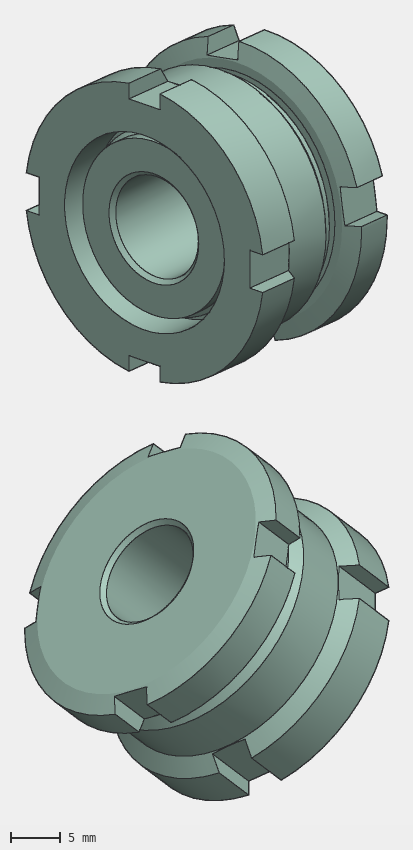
import cadquery as cq

flange_radius = 15.9
flange_rim_end = 4.83
flange_cone_end = 6.05
sleeve_radius = 14.0
sleeve_end = 11.67
step_radius = 12.95
step_start = 12.8
step_end = 13.4
housing_length = 14.07
tip_radius = step_radius - (housing_length - step_end)
thread_radius = 10.0
recess_radius = 10.65
recess_depth = 4.8

collar_radius = 16.0
collar_front = 14.25
collar_rear = 19.3
collar_face_radius = 13.9
collar_bevel_length = 0.58
collar_recess_radius = 12.92
collar_recess_depth = 0.32
screw_front = 1.45
screw_nose_radius = 9.5
screw_nose_length = 1.5
screw_chamfer = thread_radius - screw_nose_radius
relief_radius = 9.18
relief_front = 13.4
bore_radius = 5.5
bore_chamfer = 0.48

slot_count = 4
slot_width = 4.13
slot_floor_radius = 14.05
collar_slot_angle = -8.8


def revolve_profile(points):
    """Turn a closed (radius, Y) outline about the Y axis."""
    return cq.Workplane("XY").polyline(points).close().revolve(360, (0, 0, 0), (0, 1, 0))


def cut_spanner_slots(body, rim_radius, slot_start, slot_end, first_angle):
    """Cut evenly spaced flat-bottomed slots into a rim; angles turn about +Y from +Z."""
    slot_height = rim_radius - slot_floor_radius + 0.32
    slot_length = slot_end - slot_start
    cutter = cq.Workplane("XY").box(slot_width, slot_length, slot_height, centered=(True, False, False))
    cutter = cutter.translate((0, slot_start, slot_floor_radius))
    for i in range(slot_count):
        angle = first_angle + i * 360 / slot_count
        body = body.cut(cutter.rotate((0, 0, 0), (0, 1, 0), angle))
    return body


def make_housing():
    body = revolve_profile([
        (recess_radius, 0),
        (flange_radius, 0),
        (flange_radius, flange_rim_end),
        (sleeve_radius, flange_cone_end),
        (sleeve_radius, sleeve_end),
        (step_radius, step_start),
        (step_radius, step_end),
        (tip_radius, housing_length),
        (thread_radius, housing_length),
        (thread_radius, recess_depth),
        (recess_radius, recess_depth),
    ])
    return cut_spanner_slots(body, flange_radius, 0, flange_cone_end, 0)


def make_screw():
    body = revolve_profile([
        (bore_radius + bore_chamfer, screw_front),
        (screw_nose_radius, screw_front),
        (screw_nose_radius, screw_front + screw_nose_length),
        (thread_radius, screw_front + screw_nose_length + screw_chamfer),
        (thread_radius, relief_front),
        (relief_radius, relief_front),
        (relief_radius, collar_front + collar_recess_depth),
        (collar_recess_radius, collar_front + collar_recess_depth),
        (collar_recess_radius, collar_front),
        (collar_face_radius, collar_front),
        (collar_radius, collar_front + collar_bevel_length),
        (collar_radius, collar_rear - collar_bevel_length),
        (collar_face_radius, collar_rear),
        (bore_radius + bore_chamfer, collar_rear),
        (bore_radius, collar_rear - bore_chamfer),
        (bore_radius, screw_front + bore_chamfer),
    ])
    return cut_spanner_slots(body, collar_radius, collar_front, collar_rear, collar_slot_angle)


housing = make_housing()
screw = make_screw()

result = cq.Compound.makeCompound([housing.val(), screw.val()])